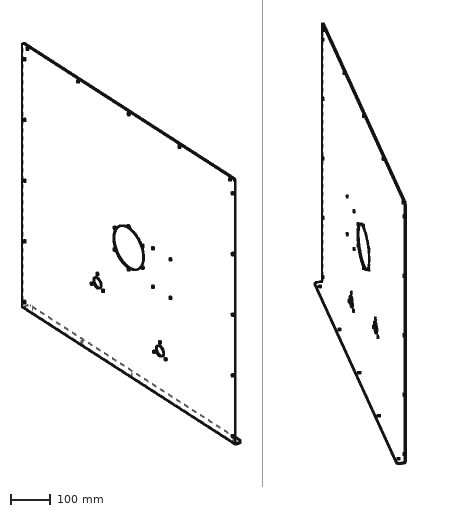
import cadquery as cq
import math

WIDTH = 856.0
DEPTH = 23.0
HEIGHT = 798.0
THICKNESS = 3.0
BEND_INNER_RADIUS = 3.0
BEND_OUTER_RADIUS = BEND_INNER_RADIUS + THICKNESS
CORNER_CHAMFER = 5.0

FRONT = -DEPTH / 2
BACK = DEPTH / 2
BOTTOM = -HEIGHT / 2
TOP = HEIGHT / 2

EDGE_HOLE_DIAMETER = 6.0
EDGE_INSET = 9.0
ROW_COUNT = 5
ROW_PITCH = 204.0
COLUMN_PITCH = 182.0

OPENING_DIAMETER = 120.0
OPENING_Z = -12.0
OPENING_SCREW_RADIUS = 65.0
OPENING_SCREW_COUNT = 6

PORT_DIAMETER = 30.0
PORT_SCREW_RADIUS = 26.5
PORT_SCREW_COUNT = 3
PORT_X = 126.0
LEFT_PORT_Z = -178.0
RIGHT_PORT_Z = -262.0
SCREW_DIAMETER = 6.0

GROUP_LEFT = 98.0
GROUP_WIDTH = 70.0
GROUP_BOTTOM = -82.0
GROUP_HEIGHT = 115.5


def centred_row(count, pitch):
    """Evenly spaced positions centred on zero."""
    return [(i - (count - 1) / 2) * pitch for i in range(count)]


def screw_circle(center_x, center_z, radius, count):
    """Points on a circle, starting straight up."""
    points = []
    for i in range(count):
        angle = math.pi / 2 + i * 2 * math.pi / count
        points.append((center_x + radius * math.cos(angle), center_z + radius * math.sin(angle)))
    return points


def panel_drills(points, diameter):
    """Cylinders through the upright panel at (x, z) points."""
    return (
        cq.Workplane("XZ", origin=(0, BACK, 0))
        .pushPoints(points)
        .circle(diameter / 2)
        .extrude(DEPTH)
    )


def flange_drills(points, diameter):
    """Cylinders through the bottom flange at (x, y) points."""
    return (
        cq.Workplane("XY", origin=(0, 0, BOTTOM))
        .pushPoints(points)
        .circle(diameter / 2)
        .extrude(BEND_OUTER_RADIUS)
    )


def bent_sheet():
    """Upright panel with a flange folded backward along its bottom edge."""
    sheet = (
        cq.Workplane("YZ", origin=(-WIDTH / 2, 0, 0))
        .moveTo(FRONT, TOP)
        .lineTo(FRONT, BOTTOM + BEND_OUTER_RADIUS)
        .radiusArc((FRONT + BEND_OUTER_RADIUS, BOTTOM), -BEND_OUTER_RADIUS)
        .lineTo(BACK, BOTTOM)
        .lineTo(BACK, BOTTOM + THICKNESS)
        .lineTo(FRONT + BEND_OUTER_RADIUS, BOTTOM + THICKNESS)
        .radiusArc((FRONT + THICKNESS, BOTTOM + BEND_OUTER_RADIUS), BEND_INNER_RADIUS)
        .lineTo(FRONT + THICKNESS, TOP)
        .close()
        .extrude(WIDTH)
    )
    sheet = sheet.faces(">Z").edges("|Y").chamfer(CORNER_CHAMFER)
    return sheet.faces(">Y").edges("|Z").chamfer(CORNER_CHAMFER)


row_x = centred_row(ROW_COUNT, ROW_PITCH)
column_z = [OPENING_Z + offset for offset in centred_row(ROW_COUNT, COLUMN_PITCH)]
column_x = WIDTH / 2 - EDGE_INSET
top_row = [(x, TOP - EDGE_INSET) for x in row_x]
side_columns = [(side * column_x, z) for side in (-1, 1) for z in column_z]
flange_row = [(x, BACK - EDGE_INSET) for x in row_x]

ports = [(-PORT_X, LEFT_PORT_Z), (PORT_X, RIGHT_PORT_Z)]
screws = screw_circle(0, OPENING_Z, OPENING_SCREW_RADIUS, OPENING_SCREW_COUNT)
for port_x, port_z in ports:
    screws += screw_circle(port_x, port_z, PORT_SCREW_RADIUS, PORT_SCREW_COUNT)
for group_x in (GROUP_LEFT, GROUP_LEFT + GROUP_WIDTH):
    for group_z in (GROUP_BOTTOM, GROUP_BOTTOM + GROUP_HEIGHT):
        screws.append((group_x, group_z))

result = (
    bent_sheet()
    .cut(panel_drills(top_row + side_columns, EDGE_HOLE_DIAMETER))
    .cut(flange_drills(flange_row, EDGE_HOLE_DIAMETER))
    .cut(panel_drills([(0, OPENING_Z)], OPENING_DIAMETER))
    .cut(panel_drills(ports, PORT_DIAMETER))
    .cut(panel_drills(screws, SCREW_DIAMETER))
)